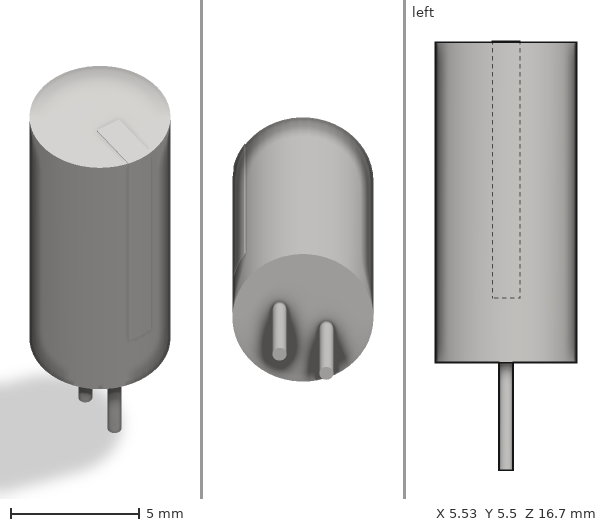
import cadquery as cq

total_height = 16.73
can_diameter = 5.5
mark_thickness = 0.03
pin_length = 4.2
pin_diameter = 0.55
pin_pitch = 2.0
mark_width = 1.05
mark_start = 0.55
mark_drop = 9.97

can_radius = can_diameter / 2
can_height = total_height - pin_length - mark_thickness
mark_reach = can_radius + mark_thickness


def make_can():
    """Plain cylindrical can, standing on Z = 0."""
    return cq.Workplane("XY").circle(can_radius).extrude(can_height)


def make_mark(can):
    """L-shaped strip over the top rim; its leg is curved around the side of the can."""
    leg_bottom = can_height - mark_drop
    mark_height = mark_drop + mark_thickness
    strip = (
        cq.Workplane("XY")
        .workplane(offset=leg_bottom)
        .center((mark_start + mark_reach) / 2, 0)
        .rect(mark_reach - mark_start, mark_width)
        .extrude(mark_height)
    )
    sleeve = cq.Workplane("XY").workplane(offset=leg_bottom).circle(mark_reach).extrude(mark_height)
    return strip.intersect(sleeve).cut(can)


def make_pin(x):
    """Round lead hanging from the underside of the can."""
    return cq.Workplane("XY").center(x, 0).circle(pin_diameter / 2).extrude(-pin_length)


can = make_can()
mark = make_mark(can)
pins = [make_pin(side * pin_pitch / 2) for side in (-1, 1)]

result = cq.Compound.makeCompound([can.val(), *mark.vals(), *[pin.val() for pin in pins]])